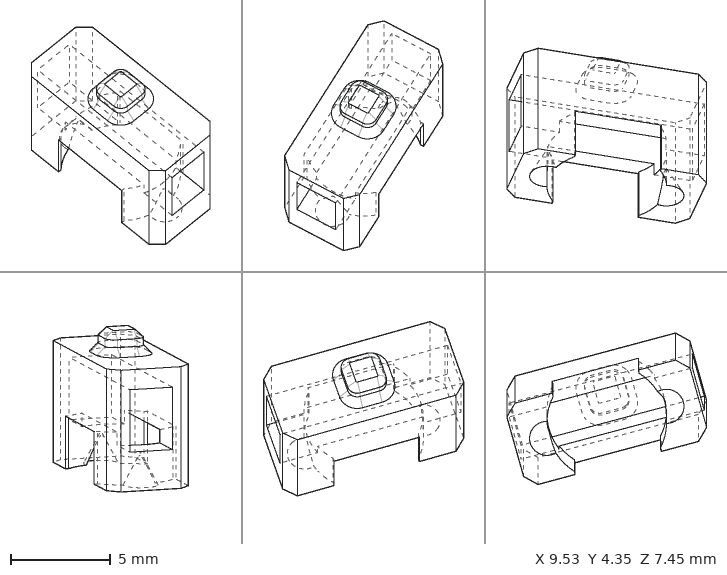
import cadquery as cq

LENGTH = 9.53
WIDTH = 4.35
TOTAL_HEIGHT = 7.45
CORNER_CHAMFER = 0.59

SLOT_LENGTH = 4.48
SLOT_HEIGHT = 2.69

RELIEF_RADIUS = 3.0

RECESS_OFFSET = 3.11
RECESS_RADIUS = 0.88
RECESS_DEPTH = 1.67

WINDOW_WIDTH = 2.25
WINDOW_HEIGHT = 3.18
WINDOW_BOTTOM = 2.01

STUD_FLAT = 1.02
NECK_CORNER_RADIUS = 0.5
FLARE = 0.43
FOOT_HEIGHT = 0.44
NECK_HEIGHT = 0.4
CROWN_HEIGHT = 0.4

STUD_HEIGHT = FOOT_HEIGHT + NECK_HEIGHT + CROWN_HEIGHT
BODY_HEIGHT = TOTAL_HEIGHT - STUD_HEIGHT


def centred_box(length, width, height, bottom=0.0):
    """Box centred on the Z axis with its underside at the given height."""
    base = cq.Workplane("XY").workplane(offset=bottom)
    return base.box(length, width, height, centered=(True, True, False))


def stud_section(corner_radius):
    """Rounded square whose four flats keep the same length at any corner radius."""
    size = STUD_FLAT + 2 * corner_radius
    return cq.Sketch().rect(size, size).vertices().fillet(corner_radius)


def stud_stage(bottom, height, bottom_radius, top_radius):
    """One stage of the stud, blending between two rounded squares."""
    base = cq.Workplane("XY").workplane(offset=bottom)
    sections = base.placeSketch(
        stud_section(bottom_radius),
        stud_section(top_radius).moved(cq.Location(cq.Vector(0, 0, height))),
    )
    return sections.loft(ruled=True)


def make_stud():
    neck_bottom = BODY_HEIGHT + FOOT_HEIGHT
    crown_bottom = neck_bottom + NECK_HEIGHT
    foot_radius = NECK_CORNER_RADIUS + FLARE
    crown_radius = NECK_CORNER_RADIUS - FLARE
    foot = stud_stage(BODY_HEIGHT, FOOT_HEIGHT, foot_radius, NECK_CORNER_RADIUS)
    neck = stud_stage(neck_bottom, NECK_HEIGHT, NECK_CORNER_RADIUS, NECK_CORNER_RADIUS)
    crown = stud_stage(crown_bottom, CROWN_HEIGHT, NECK_CORNER_RADIUS, crown_radius)
    return foot.union(neck).union(crown)


def leg_recess(side):
    """Upward-pointing cone under the leg on the given side (-1 or +1)."""
    base_centre = cq.Vector(side * RECESS_OFFSET, 0, 0)
    return cq.Solid.makeCone(RECESS_RADIUS, 0, RECESS_DEPTH, pnt=base_centre)


body = centred_box(LENGTH, WIDTH, BODY_HEIGHT).edges("|Z").chamfer(CORNER_CHAMFER)
slot = centred_box(SLOT_LENGTH, WIDTH, SLOT_HEIGHT)
relief = cq.Workplane("XY").circle(RELIEF_RADIUS).extrude(SLOT_HEIGHT)
window = centred_box(LENGTH, WINDOW_WIDTH, WINDOW_HEIGHT, WINDOW_BOTTOM)

result = body.cut(slot).cut(relief).cut(window)
for side in (-1, 1):
    result = result.cut(leg_recess(side))
result = result.union(make_stud())